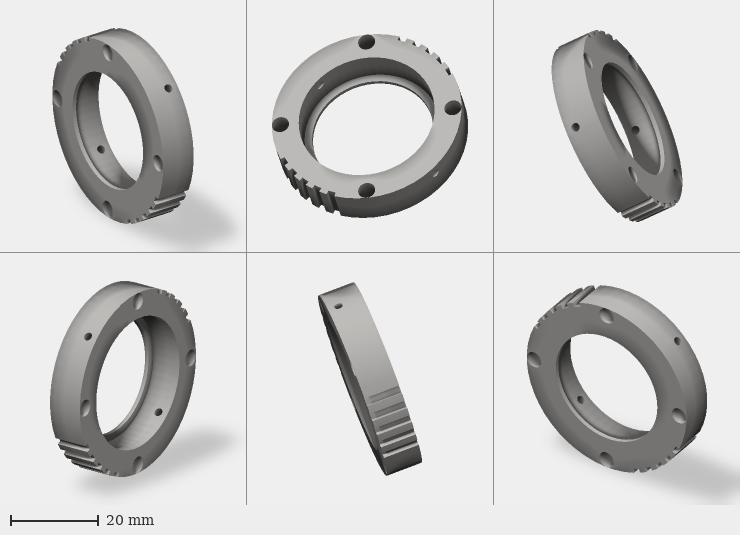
import cadquery as cq

outer_radius = 22.0
bore_radius = 14.0
thickness = 8.5
back_y = thickness / 2

lip_thickness = 1.0
recess_radius = 15.75

axial_hole_diameter = 3.95
axial_hole_circle_radius = 19.98
axial_hole_count = 4

slot_depth = 1.0
slot_angle = 5
slot_pitch = 10
slots_per_group = 5
group_start_angles = (110, 290)

radial_hole_diameter = 2.0
radial_hole_back_offset = 2.5
radial_hole_angles = (45, 225)

cut_margin = 2.2


def turn(shape, angle):
    """Rotate about the ring axis, from +X towards +Z."""
    return shape.rotate((0, 0, 0), (0, -1, 0), angle)


def back_plane():
    """Back face of the ring; extrusions from it run towards the front."""
    return cq.Workplane("XZ", origin=(0, back_y, 0))


def make_ring():
    ring = back_plane().circle(outer_radius).circle(bore_radius).extrude(thickness)
    recess = back_plane().circle(recess_radius).extrude(thickness - lip_thickness)
    return ring.cut(recess)


def axial_holes():
    return (
        back_plane()
        .polarArray(axial_hole_circle_radius, 0, 360, axial_hole_count)
        .circle(axial_hole_diameter / 2)
        .extrude(thickness)
    )


def rim_slot(start_angle):
    """Ring sector from the slot floor out past the rim."""
    floor_radius = outer_radius - slot_depth
    sector = (
        cq.Workplane("XY")
        .moveTo(floor_radius, -back_y)
        .lineTo(outer_radius + cut_margin, -back_y)
        .lineTo(outer_radius + cut_margin, back_y)
        .lineTo(floor_radius, back_y)
        .close()
        .revolve(slot_angle, (0, 0), (0, -1))
    )
    return turn(sector, start_angle)


def radial_hole(angle):
    hole = (
        cq.Workplane("YZ")
        .center(back_y - radial_hole_back_offset, 0)
        .circle(radial_hole_diameter / 2)
        .extrude(outer_radius + cut_margin)
    )
    return turn(hole, angle)


result = make_ring().cut(axial_holes())
for group_start in group_start_angles:
    for index in range(slots_per_group):
        result = result.cut(rim_slot(group_start + index * slot_pitch))
for hole_angle in radial_hole_angles:
    result = result.cut(radial_hole(hole_angle))